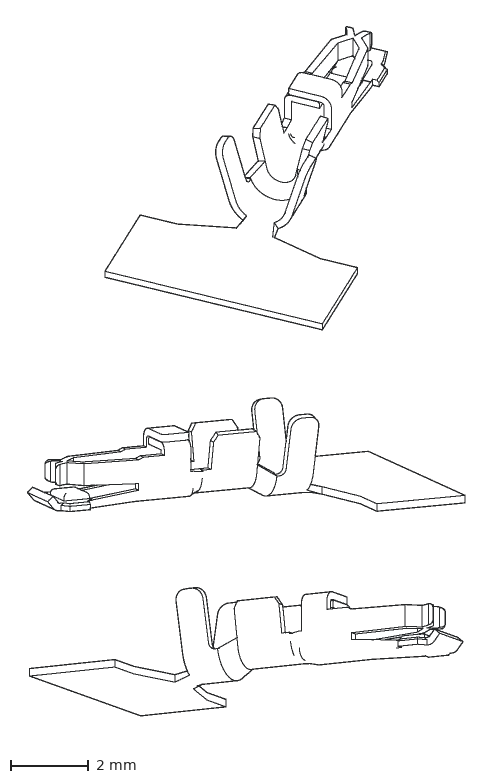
import cadquery as cq
import math

SHEET = 0.2
CONTACT_FLOOR = 0.25

CARRIER_WIDTH = 6.0
CARRIER_LENGTH = 2.5
TAPER_END = 2.9
TAPER_HALF_WIDTH = 1.97
NECK_HALF_WIDTH = 0.5
NECK_HALF_ANGLE = 33

INSULATION_START = 3.32
INSULATION_ARM_END = 4.11
INSULATION_END = 4.35
INSULATION_RADIUS = 0.9
INSULATION_TILT = 15
INSULATION_TOP = 2.29
INSULATION_EDGE = 0.68
INSULATION_TIP_RADIUS = 0.29
INSULATION_ROOT_RADIUS = 0.17

CONDUCTOR_START = 4.79
CONDUCTOR_ARM_END = 6.10
CONDUCTOR_END = 6.33
CONDUCTOR_RADIUS = 0.6
CONDUCTOR_TILT = 11.5
CONDUCTOR_TOP = 1.93
CONDUCTOR_CHAMFER_Y = 0.14
CONDUCTOR_CHAMFER_Z = 0.22
TROUGH_EDGE = 0.965
TROUGH_FLOOR_ANGLE = 40

BOX_START = 6.62
ROOF_START = 6.68
ROOF_END = 7.43
BOX_END = 8.155
BOX_HALF_WIDTH = 0.65
BOX_CORNER = 0.3
BOX_WALL_TOP = 1.456
BOX_FRONT_DROP = 0.056
BOX_FRONT_SLOPE = 0.13
ROOF_TOP = 1.97
ROOF_FREE_END = -0.53
ROOF_END_FILLET = 0.12
FLAP_GAP = 0.01
TONGUE_TOP = ROOF_TOP - SHEET - FLAP_GAP
TONGUE_BEND_RADIUS = SHEET
TONGUE_FREE_END = 0.325
TONGUE_END_FILLET = 0.08

FINGER_TOP = BOX_WALL_TOP - BOX_FRONT_DROP
FINGER_ROOT_BOTTOM = 0.775
FINGER_TIP_BOTTOM = 0.845
FINGER_TIP = 10.36
FINGER_BEND_OUTER = (0.508, 9.64)
FINGER_BEND_INNER = (0.29, 9.565)
FINGER_WAIST = (0.204, 9.975)
FINGER_TOUCH_START = 9.885
FINGER_TOUCH_END = 10.01
FINGER_FLARE = (0.275, 10.15)
FINGER_FLARE_HALF_WIDTH = 0.335
FINGER_FLARE_SIDE_START = 10.23
FINGER_FLARE_INNER = (0.154, 10.285)
FINGER_TIP_FILLET = 0.13

NOSE_START = 9.47
NOSE_WALL_TOP = 0.6
NOSE_EDGE_RADIUS = 0.005
LUG_START = 9.605
LUG_END = 10.18
LUG_HALF_WIDTH = 0.83
LUG_CHAMFER = 0.06
LUG_TAPER_END = 10.34
LIP_START = 10.39
LIP_HALF_WIDTH = 0.63
LIP_ANGLE = 50
LIP_BEND_RADIUS = 0.22
OVERALL_LENGTH = 10.72
EMBOSS_HALF_WIDTH = 0.417
EMBOSS_START = 9.445
EMBOSS_END = 10.16
EMBOSS_TOP = 0.625
EMBOSS_FILLET = 0.11


def cross_plane(y):
    """Plane across the contact at y, with local axes X and Z."""
    return cq.Workplane(cq.Plane(origin=(0, y, 0), xDir=(1, 0, 0), normal=(0, -1, 0)))


def side_silhouette(points):
    """Solid through the full width whose (y, z) outline is the given polygon."""
    return cq.Workplane("YZ").polyline(points).close().extrude(CARRIER_WIDTH / 2, both=True)


def channel(y, radius, tilt, top, floor=CONTACT_FLOOR, half_flat=0.0, floor_angle=0.0, inner_radius=None):
    """Sketch a U section: floor, two corner arcs and two straight walls leaning out by tilt.

    The floor is a flat of the given half width, or a separate arc over floor_angle to either side.
    With neither, the two corner arcs meet in a round trough. The corner arcs share one centre
    unless inner_radius is given.
    """
    tilt = math.radians(tilt)
    start = math.radians(floor_angle)
    end = math.pi / 2 - tilt
    middle = (start + end) / 2
    if inner_radius is None:
        inner_radius = radius - SHEET
    inner_flat = half_flat + radius - SHEET - inner_radius
    outer = (half_flat, floor, radius, SHEET * math.sin(tilt))
    inner = (inner_flat, floor + SHEET, inner_radius, 0)

    def on_arc(face, angle, side):
        flat, bottom, r, _ = face
        return (side * (flat + r * math.sin(angle)), bottom + r - r * math.cos(angle))

    def wall_tip(face, side):
        x, z = on_arc(face, end, 1)
        tip_z = top - face[-1]
        return (side * (x + (tip_z - z) * math.tan(tilt)), tip_z)

    def draw_face(sketch, face, side):
        """From the wall tip on one side, down and across the floor, to the other wall tip."""
        _, bottom, _, _ = face
        sketch = sketch.lineTo(*on_arc(face, end, side))
        sketch = sketch.threePointArc(on_arc(face, middle, side), on_arc(face, start, side))
        if half_flat:
            sketch = sketch.lineTo(*on_arc(face, start, -side))
        elif floor_angle:
            sketch = sketch.threePointArc((0, bottom), on_arc(face, start, -side))
        sketch = sketch.threePointArc(on_arc(face, middle, -side), on_arc(face, end, -side))
        return sketch.lineTo(*wall_tip(face, -side))

    sketch = cross_plane(y).moveTo(*wall_tip(outer, -1))
    sketch = draw_face(sketch, outer, -1).lineTo(*wall_tip(inner, 1))
    return draw_face(sketch, inner, 1).close()


def insulation_channel(y, top):
    return channel(y, INSULATION_RADIUS, INSULATION_TILT, top, floor=0)


def conductor_channel(y, top, floor_angle=0.0):
    return channel(y, CONDUCTOR_RADIUS, CONDUCTOR_TILT, top, floor_angle=floor_angle)


def box_channel(y, top):
    return channel(y, BOX_CORNER, 0, top, half_flat=BOX_HALF_WIDTH - BOX_CORNER)


def loft_between(first, second):
    """Straight transition between two sections."""
    wires = [first.wires().val(), second.wires().val()]
    return cq.Workplane(cq.Solid.makeLoft(wires, True))


def make_carrier():
    half = CARRIER_WIDTH / 2
    right = [
        (half, 0),
        (half, CARRIER_LENGTH),
        (TAPER_HALF_WIDTH, CARRIER_LENGTH),
        (NECK_HALF_WIDTH, TAPER_END),
    ]
    left = [(-x, y) for x, y in reversed(right)]
    return cq.Workplane("XY").polyline(right + left).close().extrude(SHEET)


def make_neck():
    """Flat at the carrier, curved like the insulation trough where it joins the crimp."""
    angle = math.radians(NECK_HALF_ANGLE)
    inner = INSULATION_RADIUS - SHEET
    sine = math.sin(angle)
    cosine = math.cos(angle)
    outer_z = INSULATION_RADIUS * (1 - cosine)
    inner_z = INSULATION_RADIUS - inner * cosine
    flat = cross_plane(TAPER_END).center(0, SHEET / 2).rect(2 * NECK_HALF_WIDTH, SHEET)
    curved = (
        cross_plane(INSULATION_START)
        .moveTo(-INSULATION_RADIUS * sine, outer_z)
        .threePointArc((0, 0), (INSULATION_RADIUS * sine, outer_z))
        .lineTo(inner * sine, inner_z)
        .threePointArc((0, SHEET), (-inner * sine, inner_z))
        .close()
    )
    return loft_between(flat, curved)


def make_insulation_crimp():
    length = INSULATION_END - INSULATION_START
    crimp = insulation_channel(INSULATION_START, INSULATION_TOP).extrude(-length)
    arms = side_silhouette([
        (INSULATION_START, 0),
        (INSULATION_START, INSULATION_TOP),
        (INSULATION_ARM_END, INSULATION_TOP),
        (INSULATION_ARM_END, 0),
    ])
    root_top = INSULATION_EDGE + INSULATION_ROOT_RADIUS
    root_end = INSULATION_ARM_END + INSULATION_ROOT_RADIUS
    bend = INSULATION_ROOT_RADIUS * (1 - math.sqrt(0.5))
    trough = (
        cq.Workplane("YZ")
        .moveTo(INSULATION_ARM_END, 0)
        .lineTo(INSULATION_ARM_END, root_top)
        .threePointArc((INSULATION_ARM_END + bend, INSULATION_EDGE + bend), (root_end, INSULATION_EDGE))
        .lineTo(INSULATION_END, INSULATION_EDGE)
        .lineTo(INSULATION_END, 0)
        .close()
        .extrude(CARRIER_WIDTH / 2, both=True)
    )
    crimp = crimp.intersect(arms.union(trough))
    tip_zone = cq.selectors.BoxSelector(
        (-CARRIER_WIDTH, INSULATION_START - SHEET, INSULATION_TOP - SHEET / 2),
        (CARRIER_WIDTH, INSULATION_END, INSULATION_TOP),
    )
    return crimp.edges(tip_zone).edges("#Y").fillet(INSULATION_TIP_RADIUS)


def make_crimp_transition():
    """Sloping trough whose outer wall edges meet the trough edges of both crimps."""
    insulation_rise = SHEET * math.sin(math.radians(INSULATION_TILT))
    conductor_rise = SHEET * math.sin(math.radians(CONDUCTOR_TILT))
    return loft_between(
        insulation_channel(INSULATION_END, INSULATION_EDGE + insulation_rise),
        conductor_channel(CONDUCTOR_START, TROUGH_EDGE + conductor_rise),
    )


def make_conductor_crimp():
    length = CONDUCTOR_END - CONDUCTOR_START
    crimp = conductor_channel(CONDUCTOR_START, CONDUCTOR_TOP).extrude(-length)
    shoulder = CONDUCTOR_TOP - CONDUCTOR_CHAMFER_Z
    silhouette = side_silhouette([
        (CONDUCTOR_START, 0),
        (CONDUCTOR_START, shoulder),
        (CONDUCTOR_START + CONDUCTOR_CHAMFER_Y, CONDUCTOR_TOP),
        (CONDUCTOR_ARM_END - CONDUCTOR_CHAMFER_Y, CONDUCTOR_TOP),
        (CONDUCTOR_ARM_END, shoulder),
        (CONDUCTOR_ARM_END, TROUGH_EDGE),
        (CONDUCTOR_END, TROUGH_EDGE),
        (CONDUCTOR_END, 0),
    ])
    return crimp.intersect(silhouette)


def make_box_transition():
    return loft_between(
        conductor_channel(CONDUCTOR_END, TROUGH_EDGE, TROUGH_FLOOR_ANGLE),
        box_channel(BOX_START, TROUGH_EDGE),
    )


def make_box_walls():
    walls = box_channel(BOX_START, BOX_WALL_TOP).extrude(BOX_START - BOX_END)
    silhouette = side_silhouette([
        (BOX_START, 0),
        (BOX_START, TROUGH_EDGE),
        (ROOF_START, TROUGH_EDGE),
        (ROOF_START, BOX_WALL_TOP),
        (BOX_END - BOX_FRONT_SLOPE, BOX_WALL_TOP),
        (BOX_END, BOX_WALL_TOP - BOX_FRONT_DROP),
        (BOX_END, 0),
    ])
    return walls.intersect(silhouette)


def make_fold(side, top, free_end, bend_radius):
    """Wall extension on one side, folded inward to a flat flap."""
    outer_x = side * BOX_HALF_WIDTH
    inner_x = side * (BOX_HALF_WIDTH - SHEET)
    fold = (
        cross_plane(ROOF_START)
        .polyline([
            (outer_x, BOX_WALL_TOP),
            (outer_x, top),
            (free_end, top),
            (free_end, top - SHEET),
            (inner_x, top - SHEET),
            (inner_x, BOX_WALL_TOP),
        ])
        .close()
        .extrude(ROOF_START - ROOF_END)
    )
    outer_corner = cq.NearestToPointSelector((outer_x, (ROOF_START + ROOF_END) / 2, top))
    fold = fold.edges("|Y").edges(outer_corner).fillet(bend_radius)
    if bend_radius > SHEET:
        inner_corner = cq.NearestToPointSelector((inner_x, (ROOF_START + ROOF_END) / 2, top - SHEET))
        fold = fold.edges("|Y").edges(inner_corner).fillet(bend_radius - SHEET)
    return fold


def make_roof():
    roof = make_fold(1, ROOF_TOP, ROOF_FREE_END, BOX_CORNER)
    return roof.edges("|Z and <X and >Y").fillet(ROOF_END_FILLET)


def make_tongue():
    tongue = make_fold(-1, TONGUE_TOP, TONGUE_FREE_END, TONGUE_BEND_RADIUS)
    return tongue.edges("|Y and >X and >Z").fillet(TONGUE_END_FILLET)


def make_fingers():
    """Two spring fingers that run inward, touch on the centre plane and flare out again."""
    outline = [
        (BOX_HALF_WIDTH, BOX_END),
        FINGER_BEND_OUTER,
        FINGER_WAIST,
        FINGER_FLARE,
        (FINGER_FLARE_HALF_WIDTH, FINGER_FLARE_SIDE_START),
        (FINGER_FLARE_HALF_WIDTH, FINGER_TIP),
        FINGER_FLARE_INNER,
        (0, FINGER_TOUCH_END),
        (0, FINGER_TOUCH_START),
        FINGER_BEND_INNER,
        (BOX_HALF_WIDTH - SHEET, BOX_END),
    ]
    finger = cq.Workplane("XY").polyline(outline).close().extrude(FINGER_TOP)
    silhouette = side_silhouette([
        (BOX_END, FINGER_ROOT_BOTTOM),
        (BOX_END, FINGER_TOP),
        (FINGER_TIP, FINGER_TOP),
        (FINGER_TIP, FINGER_TIP_BOTTOM),
    ])
    silhouette = silhouette.edges("|X and >Y").fillet(FINGER_TIP_FILLET)
    finger = finger.intersect(silhouette)
    return finger.union(finger.mirror("YZ"))


def make_nose():
    """Side walls fade out and the floor flattens from the box to the nose plate."""
    flat_end = channel(
        NOSE_START,
        NOSE_EDGE_RADIUS,
        0,
        CONTACT_FLOOR + SHEET + 2 * NOSE_EDGE_RADIUS,
        half_flat=BOX_HALF_WIDTH - NOSE_EDGE_RADIUS,
        inner_radius=NOSE_EDGE_RADIUS,
    )
    return loft_between(box_channel(BOX_END, NOSE_WALL_TOP), flat_end)


def make_plate():
    right = [
        (BOX_HALF_WIDTH, NOSE_START),
        (BOX_HALF_WIDTH, LUG_START),
        (LUG_HALF_WIDTH, LUG_START),
        (LUG_HALF_WIDTH, LUG_END),
        (LIP_HALF_WIDTH, LUG_TAPER_END),
        (LIP_HALF_WIDTH, LIP_START),
    ]
    left = [(-x, y) for x, y in reversed(right)]
    plate = cq.Workplane("XY", origin=(0, 0, CONTACT_FLOOR)).polyline(right + left).close().extrude(SHEET)
    for side in (1, -1):
        lug_edge = (side * LUG_HALF_WIDTH, (LUG_START + LUG_END) / 2, CONTACT_FLOOR + SHEET)
        taper_x = side * (LUG_HALF_WIDTH + LIP_HALF_WIDTH) / 2
        taper_edge = (taper_x, (LUG_END + LUG_TAPER_END) / 2, CONTACT_FLOOR + SHEET)
        picked = plate.edges(cq.NearestToPointSelector(lug_edge))
        picked = picked.add(plate.edges(cq.NearestToPointSelector(taper_edge)))
        plate = picked.chamfer(LUG_CHAMFER)
    return plate


def make_emboss():
    height = EMBOSS_TOP - CONTACT_FLOOR
    pad = cq.Workplane("XY").box(
        2 * EMBOSS_HALF_WIDTH, EMBOSS_END - EMBOSS_START, height, centered=(True, False, False)
    )
    pad = pad.faces(">Z").edges().fillet(EMBOSS_FILLET)
    return pad.translate((0, EMBOSS_START, CONTACT_FLOOR))


def make_lip():
    """Lead-in lip bent up from the end of the nose plate."""
    angle = math.radians(LIP_ANGLE)
    centre_z = CONTACT_FLOOR + LIP_BEND_RADIUS
    inner = LIP_BEND_RADIUS - SHEET

    def on_bend(r, a):
        return (LIP_START + r * math.sin(a), centre_z - r * math.cos(a))

    straight = (OVERALL_LENGTH - on_bend(LIP_BEND_RADIUS, angle)[0]) / math.cos(angle)

    def tip(r):
        y, z = on_bend(r, angle)
        return (y + straight * math.cos(angle), z + straight * math.sin(angle))

    return (
        cq.Workplane("YZ")
        .moveTo(*on_bend(LIP_BEND_RADIUS, 0))
        .threePointArc(on_bend(LIP_BEND_RADIUS, angle / 2), on_bend(LIP_BEND_RADIUS, angle))
        .lineTo(*tip(LIP_BEND_RADIUS))
        .lineTo(*tip(inner))
        .lineTo(*on_bend(inner, angle))
        .threePointArc(on_bend(inner, angle / 2), on_bend(inner, 0))
        .close()
        .extrude(LIP_HALF_WIDTH, both=True)
    )


result = make_carrier()
for section in (
    make_neck(),
    make_insulation_crimp(),
    make_crimp_transition(),
    make_conductor_crimp(),
    make_box_transition(),
    make_box_walls(),
    make_roof(),
    make_tongue(),
    make_fingers(),
    make_nose(),
    make_plate(),
    make_emboss(),
    make_lip(),
):
    result = result.union(section)